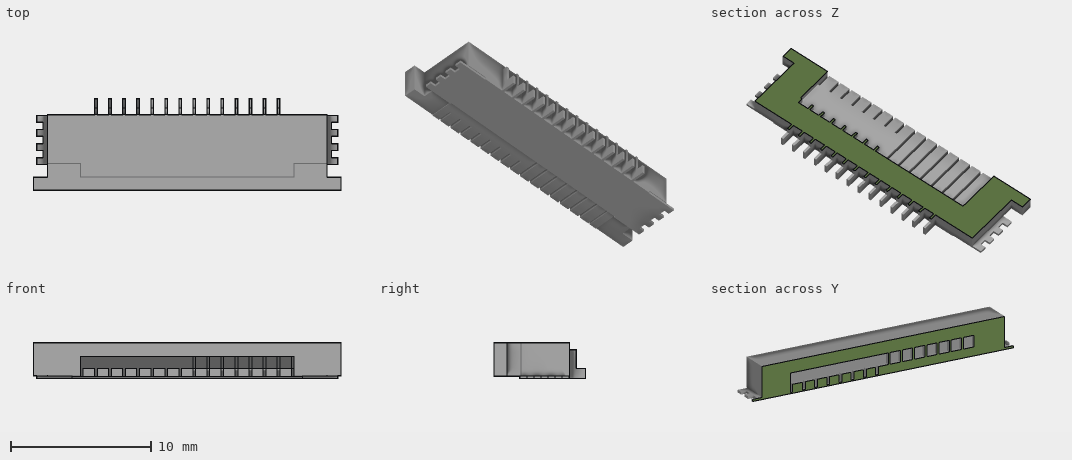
import cadquery as cq

LENGTH = 21.92
HEIGHT = 2.56
DEPTH = 6.53
CONTACT_COUNT = 14
CONTACT_ROW = 13.0
PITCH = CONTACT_ROW / (CONTACT_COUNT - 1)
CONTACT_WIDTH = 0.2

STANDOFF = 0.2
EAR_LENGTH = 1.0
HOUSING_WIDTH = LENGTH - 2 * EAR_LENGTH
TAIL_LENGTH = 1.15
HOUSING_BACK = DEPTH - TAIL_LENGTH
SLIDER_DEPTH = 0.95
LEG_DEPTH = 1.93
LEG_WIDTH = 2.37

MOUTH_WIDTH = HOUSING_WIDTH - 2 * LEG_WIDTH
MOUTH_TOP = 1.58
MOUTH_DEPTH = 3.5
COMB_WIDTH = 14.86
COMB_BOTTOM = 0.13
COMB_TOP = 0.72

BASE_WIDTH = 16.45
TAB_REACH = 10.72
TAB_FRONT = 1.85
TOOTH_COUNT = 4
TOOTH_WIDTH = PITCH / 2
TOOTH_LENGTH = 0.44
TAB_BACK = TAB_FRONT + (TOOTH_COUNT - 1) * PITCH + TOOTH_WIDTH

ARM_FRONT = 1.1
BLADE_FRONT = 3.07
FOOT_LENGTH = 0.65
SHANK_BACK = DEPTH - FOOT_LENGTH
SHANK_TOP = 2.05
FOOT_TOP = 0.72


def block(x_range, y_range, z_range):
    """Box between the given limits along each axis."""
    (x0, x1), (y0, y1), (z0, z1) = x_range, y_range, z_range
    return cq.Workplane("XY").box(x1 - x0, y1 - y0, z1 - z0, centered=False).translate((x0, y0, z0))


def centred(width, middle=0.0):
    """Limits of a width centred on a position."""
    return (middle - width / 2, middle + width / 2)


def make_housing():
    """Housing body behind the slider legs, with a tongue between them over the open mouth."""
    body = block(centred(HOUSING_WIDTH), (LEG_DEPTH, HOUSING_BACK), (STANDOFF, HEIGHT))
    tongue = block(centred(MOUTH_WIDTH), (SLIDER_DEPTH, LEG_DEPTH), (STANDOFF, HEIGHT))
    mouth = block(centred(MOUTH_WIDTH), (SLIDER_DEPTH, MOUTH_DEPTH), (STANDOFF, MOUTH_TOP))
    return body.union(tongue).cut(mouth)


def make_slider():
    """Bar across the front with an ear at each end and two legs reaching back."""
    bar = block(centred(LENGTH), (0, SLIDER_DEPTH), (STANDOFF, HEIGHT))
    legs = block(centred(HOUSING_WIDTH), (0, LEG_DEPTH), (STANDOFF, HEIGHT))
    mouth = block(centred(MOUTH_WIDTH), (0, LEG_DEPTH), (STANDOFF, MOUTH_TOP))
    leg_gap = block(centred(MOUTH_WIDTH), (SLIDER_DEPTH, LEG_DEPTH), (STANDOFF, HEIGHT))
    return bar.union(legs).cut(mouth).cut(leg_gap)


def make_comb():
    """Blocks on the mouth floor with a slot for each contact, and a thin rail on each side."""
    comb = block(centred(COMB_WIDTH), (0, MOUTH_DEPTH), (COMB_BOTTOM, COMB_TOP))
    for x in contact_positions:
        comb = comb.cut(block(centred(CONTACT_WIDTH, x), (0, MOUTH_DEPTH), (COMB_BOTTOM, COMB_TOP)))
    rails = block(centred(BASE_WIDTH), (0, HOUSING_BACK), (COMB_BOTTOM, STANDOFF))
    rails = rails.cut(block(centred(MOUTH_WIDTH), (0, MOUTH_DEPTH), (COMB_BOTTOM, STANDOFF)))
    return comb.union(rails)


def make_base():
    """Pedestal under the housing that rests on the solder plane."""
    return block(centred(BASE_WIDTH), (LEG_DEPTH, HOUSING_BACK), (0, COMB_BOTTOM))


def make_tabs():
    """Toothed solder tabs along both ends of the housing."""
    tabs = block(centred(2 * (TAB_REACH - TOOTH_LENGTH)), (TAB_FRONT, TAB_BACK), (0, STANDOFF))
    tabs = tabs.cut(block(centred(BASE_WIDTH), (TAB_FRONT, TAB_BACK), (0, STANDOFF)))
    for i in range(TOOTH_COUNT):
        y = TAB_FRONT + i * PITCH
        tooth = block((TAB_REACH - TOOTH_LENGTH, TAB_REACH), (y, y + TOOTH_WIDTH), (0, STANDOFF))
        tabs = tabs.union(tooth).union(tooth.mirror("YZ"))
    return tabs


def make_step(x_range):
    """Low arm on the mouth floor that turns up into a blade against the back of the mouth."""
    arm = block(x_range, (ARM_FRONT, MOUTH_DEPTH), (COMB_BOTTOM, COMB_TOP))
    blade = block(x_range, (BLADE_FRONT, MOUTH_DEPTH), (COMB_BOTTOM, MOUTH_TOP))
    return arm.union(blade)


def make_tail(x):
    """Contact tail behind the housing: upright shank and solder foot."""
    width = centred(CONTACT_WIDTH, x)
    shank = block(width, (HOUSING_BACK, SHANK_BACK), (0, SHANK_TOP))
    foot = block(width, (HOUSING_BACK, DEPTH), (0, FOOT_TOP))
    return shank.union(foot)


contact_positions = [(i - (CONTACT_COUNT - 1) / 2) * PITCH for i in range(CONTACT_COUNT)]

result = make_housing().union(make_comb()).union(make_base()).union(make_tabs())
for contact_x in contact_positions:
    result = result.union(make_tail(contact_x))
    if contact_x > 0:
        result = result.union(make_step(centred(CONTACT_WIDTH, contact_x)))
result = result.union(make_step((COMB_WIDTH / 2, MOUTH_WIDTH / 2)))
result = result.union(make_slider(), clean=False)